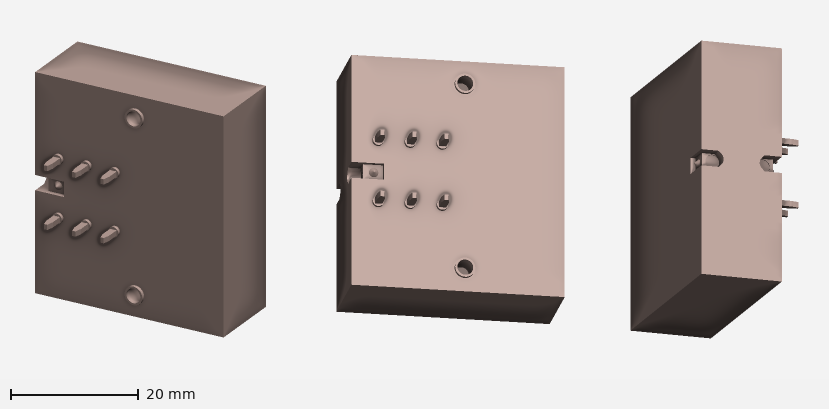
import cadquery as cq
import math

length = 34.0
height = 38.08
overall_depth = 17.5
pin_reach = 4.15
depth = overall_depth - pin_reach

pin_first_x = 4.23
pin_pitch_x = 5.1
pins_per_row = 3
pin_row_z = 5.05
pin_width = 1.18
pin_thickness = 0.9
pin_tip_width = 0.6
pin_taper = 1.25
collar_diameter = 1.75
collar_height = 0.57

standoff_x = 18.05
standoff_z = 15.25
standoff_diameter = 3.2
standoff_height = collar_height
standoff_bore = 2.5
standoff_bore_depth = 3.8

slot_width = 2.63
shelf_length = 5.2
shelf_depth = 0.8
channel_length = 1.98
channel_depth = 3.7
light_diameter = 2.35
light_recess = 0.2
cone_x = 3.7
cone_diameter = 1.5


def box(x_range, y_range, width_z):
    """Box between two X and two Y limits, centred on Z = 0."""
    (x0, x1), (y0, y1) = x_range, y_range
    return cq.Workplane("XY").box(x1 - x0, y1 - y0, width_z).translate(((x0 + x1) / 2, (y0 + y1) / 2, 0))


def face_cylinder(x, z, diameter, y_start, y_end):
    """Cylinder along Y between two Y positions."""
    plane = cq.Plane(origin=(x, y_start, z), xDir=(1, 0, 0), normal=(0, 1, 0))
    return cq.Workplane(plane).circle(diameter / 2).extrude(y_end - y_start)


def make_pin(x, z):
    """Flat pin with a tapered tip, rising from a round collar."""
    half_width = pin_width / 2
    half_tip = pin_tip_width / 2
    taper_y = pin_taper - pin_reach
    blade = (
        cq.Workplane("XY")
        .polyline([
            (-half_width, 0),
            (-half_width, taper_y),
            (-half_tip, -pin_reach),
            (half_tip, -pin_reach),
            (half_width, taper_y),
            (half_width, 0),
        ])
        .close()
        .extrude(pin_thickness / 2, both=True)
        .translate((x, 0, z))
    )
    return blade.union(face_cylinder(x, z, collar_diameter, 0, -collar_height))


def make_channel():
    """Channel open at the pin face, with 45 degree bevels tangent to its round bottom."""
    radius = light_diameter / 2
    half_width = slot_width / 2
    centre_y = channel_depth - radius
    tangent_offset = radius / math.sqrt(2)
    tangent_y = centre_y + tangent_offset
    bevel_start_y = tangent_y + tangent_offset - half_width
    channel = (
        cq.Workplane("YZ")
        .moveTo(0, -half_width)
        .lineTo(bevel_start_y, -half_width)
        .lineTo(tangent_y, -tangent_offset)
        .threePointArc((channel_depth, 0), (tangent_y, tangent_offset))
        .lineTo(bevel_start_y, half_width)
        .lineTo(0, half_width)
        .close()
        .extrude(channel_length)
    )
    light = (
        cq.Workplane("YZ", origin=(channel_length, centre_y, 0))
        .circle(radius)
        .extrude(light_recess)
    )
    return channel.union(light)


def make_cone():
    """Cone standing on the slot shelf, its point level with the pin face."""
    base = cq.Vector(cone_x, shelf_depth, 0)
    return cq.Workplane(cq.Solid.makeCone(cone_diameter / 2, 0, shelf_depth, base, cq.Vector(0, -1, 0)))


def to_back_face(feature):
    """Mirror a feature of the pin face onto the opposite large face."""
    return feature.mirror("XZ", (0, depth / 2, 0))


result = box((0, length), (0, depth), height)

slot = box((0, shelf_length), (0, shelf_depth), slot_width).union(make_channel())
cone = make_cone()
result = result.cut(slot).cut(to_back_face(slot))
result = result.union(cone).union(to_back_face(cone))

for side in (-1, 1):
    for index in range(pins_per_row):
        result = result.union(make_pin(pin_first_x + index * pin_pitch_x, side * pin_row_z))

    result = result.union(
        face_cylinder(standoff_x, side * standoff_z, standoff_diameter, 0, -standoff_height)
    )
    result = result.cut(
        face_cylinder(
            standoff_x, side * standoff_z, standoff_bore,
            -standoff_height, standoff_bore_depth - standoff_height,
        )
    )